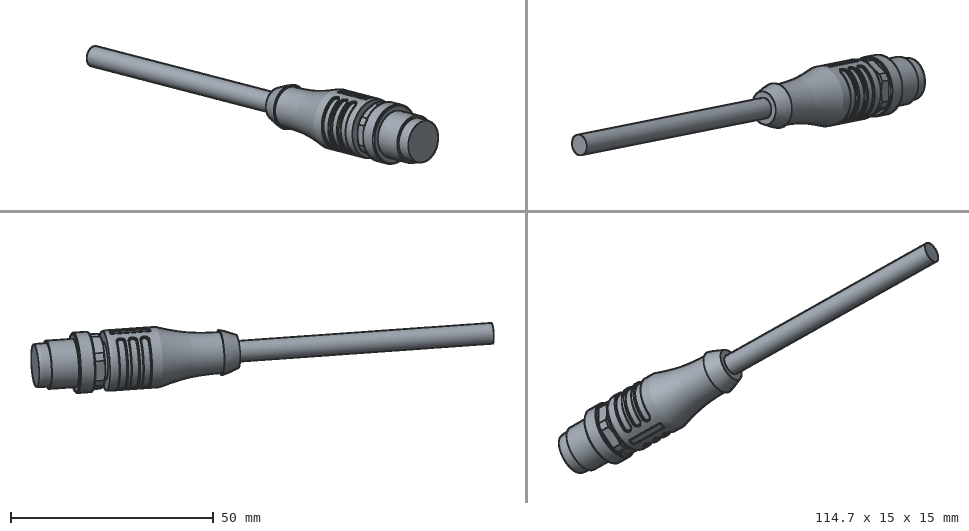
import cadquery as cq
import math

total_length = 114.7
cable_radius = 5.2 / 2

collar_start_x = 64.0
collar_end_x = 68.2
neck_end_x = 76.2
barrel_start_x = 84.1
barrel_end_x = 97.3
collar_start_radius = 8.3 / 2
collar_bulge_radius = 5.0
collar_end_radius = 5.6
neck_start_radius = 5.1
neck_middle_radius = 5.22
neck_end_radius = 5.6
flare_middle_radius = 6.4
barrel_radius = 15 / 2
barrel_edge_taper_length = 0.7
barrel_edge_taper_drop = 0.15

spindle_radius = 9.3 / 2
hex_start_x = 98.3
hex_across_flats = 13.0
hex_corner_radius = 7.0
hex_lead_in_length = 0.3
hex_lead_in_drop = 0.5
ring_start_x = 100.9
ring_end_x = 104.9
ring_radius = 15 / 2
ring_chamfer = 0.3
sleeve_end_x = 111.6
sleeve_radius = 12 / 2
nose_radius = 10.8 / 2
nose_tip_radius = 10.5 / 2
nose_taper_x = 113.8

groove_pitch = 3.0
groove_count = 3
groove_middle_x = 90.9
groove_width = 1.7
groove_depth = 0.45
groove_rim_chamfer = 0.3
groove_end_angle = 64.5

recess_length = 9.9
recess_width = 1.85
recess_depth = 0.3
recess_middle_x = 90.85

cut_overshoot = 1.0

match_tolerance = 0.01


def make_grip_and_cable():
    outline = (
        cq.Workplane("XY")
        .moveTo(0, 0)
        .lineTo(0, cable_radius)
        .lineTo(collar_start_x, cable_radius)
        .lineTo(collar_start_x, collar_start_radius)
        .threePointArc(
            ((collar_start_x + collar_end_x) / 2, collar_bulge_radius),
            (collar_end_x, collar_end_radius),
        )
        .lineTo(collar_end_x, neck_start_radius)
        .threePointArc(
            ((collar_end_x + neck_end_x) / 2, neck_middle_radius),
            (neck_end_x, neck_end_radius),
        )
        .threePointArc(
            ((neck_end_x + barrel_start_x) / 2, flare_middle_radius),
            (barrel_start_x, barrel_radius),
        )
        .lineTo(barrel_end_x - barrel_edge_taper_length, barrel_radius)
        .lineTo(barrel_end_x, barrel_radius - barrel_edge_taper_drop)
        .lineTo(barrel_end_x, 0)
        .close()
    )
    return outline.revolve(360, (0, 0, 0), (1, 0, 0))


def make_plug():
    outline = (
        cq.Workplane("XY")
        .moveTo(barrel_end_x, 0)
        .lineTo(barrel_end_x, spindle_radius)
        .lineTo(ring_start_x, spindle_radius)
        .lineTo(ring_start_x, ring_radius - ring_chamfer)
        .lineTo(ring_start_x + ring_chamfer, ring_radius)
        .lineTo(ring_end_x - ring_chamfer, ring_radius)
        .lineTo(ring_end_x, ring_radius - ring_chamfer)
        .lineTo(ring_end_x, sleeve_radius)
        .lineTo(sleeve_end_x, sleeve_radius)
        .lineTo(sleeve_end_x, nose_radius)
        .lineTo(nose_taper_x, nose_radius)
        .lineTo(total_length, nose_tip_radius)
        .lineTo(total_length, 0)
        .close()
    )
    return outline.revolve(360, (0, 0, 0), (1, 0, 0))


def make_hex():
    """Hexagon with flats facing +Y and -Y and its corners turned down round."""
    hex_length = ring_start_x - hex_start_x
    hex_diameter = hex_across_flats / math.cos(math.pi / 6)
    start_plane = cq.Workplane("YZ", origin=(hex_start_x, 0, 0))
    hexagon = start_plane.transformed(rotate=(0, 0, 90)).polygon(6, hex_diameter).extrude(hex_length)
    turned_blank = (
        cq.Workplane("XY")
        .moveTo(hex_start_x, 0)
        .lineTo(hex_start_x, hex_corner_radius - hex_lead_in_drop)
        .lineTo(hex_start_x + hex_lead_in_length, hex_corner_radius)
        .lineTo(ring_start_x, hex_corner_radius)
        .lineTo(ring_start_x, 0)
        .close()
        .revolve(360, (0, 0, 0), (1, 0, 0))
    )
    return hexagon.intersect(turned_blank)


def make_groove(x):
    """Cutter for a groove wrapped around the +Y side, with rounded tips."""
    floor_radius = barrel_radius - groove_depth
    cutter_radius = barrel_radius + cut_overshoot
    tip_angle = groove_end_angle - math.degrees(groove_width / 2 / barrel_radius)
    band = (
        cq.Workplane("XY")
        .moveTo(x - groove_width / 2, floor_radius)
        .lineTo(x + groove_width / 2, floor_radius)
        .lineTo(x + groove_width / 2, cutter_radius)
        .lineTo(x - groove_width / 2, cutter_radius)
        .close()
        .revolve(2 * tip_angle, (0, 0, 0), (1, 0, 0))
        .rotate((0, 0, 0), (1, 0, 0), -tip_angle)
    )
    tip = cq.Workplane("XZ", origin=(x, 0, 0)).circle(groove_width / 2).extrude(-cutter_radius)
    core = cq.Workplane("YZ").circle(floor_radius).extrude(total_length)
    tip = tip.cut(core)
    for angle in (-tip_angle, tip_angle):
        band = band.union(tip.rotate((0, 0, 0), (1, 0, 0), angle))
    return band


class GrooveRim(cq.Selector):
    """Edges lying on the barrel surface around the grooves at one station."""

    def __init__(self, x):
        self.x = x

    def on_rim(self, edge):
        middle = edge.positionAt(0.5)
        on_surface = abs(math.hypot(middle.y, middle.z) - barrel_radius) < match_tolerance
        return on_surface and abs(middle.x - self.x) < groove_width / 2 + match_tolerance

    def filter(self, objects):
        return [edge for edge in objects if self.on_rim(edge)]


def cut_grooves(body):
    for index in range(groove_count):
        x = groove_middle_x + (index - (groove_count - 1) / 2) * groove_pitch
        groove = make_groove(x)
        body = body.cut(groove).cut(groove.mirror("XZ"))
        body = body.edges(GrooveRim(x)).chamfer(groove_rim_chamfer)
    return body


def cut_recesses(body):
    floor_z = barrel_radius - recess_depth
    recess = (
        cq.Workplane("XY", origin=(recess_middle_x, 0, floor_z))
        .rect(recess_length, recess_width)
        .extrude(recess_depth + cut_overshoot)
    )
    return body.cut(recess).cut(recess.mirror("XY"))


result = make_grip_and_cable().union(make_plug()).union(make_hex())
result = cut_grooves(result)
result = cut_recesses(result)